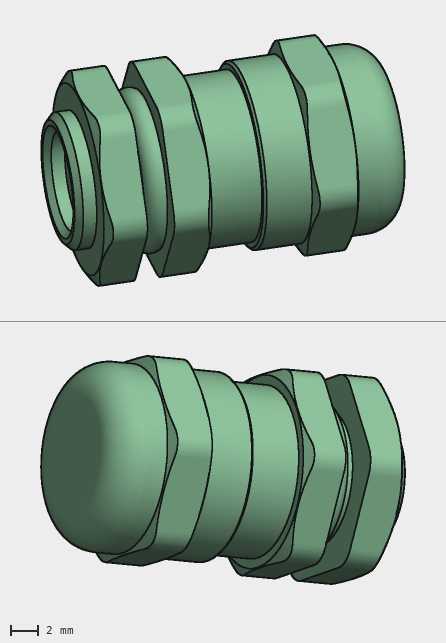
import cadquery as cq
import math


ACROSS_FLATS = 14.0
ACROSS_CORNERS = ACROSS_FLATS / math.cos(math.radians(30))
CORNER_RADIUS = 2.0

FACE_DIAMETER = 13.9
BEVEL_ANGLE = 30.0
CAP_BEVEL_ANGLE = 20.0

THREAD_DIAMETER = 10.0
THREAD_CHAMFER = 0.5
BORE_DIAMETER = 7.2
BORE_DEPTH = 1.5
BORE_CHAMFER = 0.5

NUT_START = 1.5
NUT_THICKNESS = 3.0
FLANGE_START = 6.5
FLANGE_THICKNESS = 3.0
FLANGE_END = FLANGE_START + FLANGE_THICKNESS
CAP_START = 13.4
CAP_HEX_START = 16.95
CAP_HEX_THICKNESS = 3.45
TOTAL_LENGTH = 24.41

RING_DIAMETER = 12.0
RING_SECTION_RADIUS = 1.0
RING_EXPOSED_LENGTH = 1.5
BODY_DIAMETER = 12.5
CAP_DIAMETER = 13.7
CAP_CHAMFER = 0.2
DOME_RADIUS = 2.5


def revolve_about_y(profile):
    """Turn a closed XY profile about the Y axis."""
    return profile.close().revolve(360, (0, 0, 0), (0, 1, 0))


def cylinder(diameter, start, end):
    """Solid cylinder on the Y axis between two stations."""
    return revolve_about_y(
        cq.Workplane("XY")
        .moveTo(0, start)
        .lineTo(diameter / 2, start)
        .lineTo(diameter / 2, end)
        .lineTo(0, end)
    )


def bevel_cone(face_y, inward, face_diameter, angle):
    """Solid cone frustum that widens from one hexagon end face; inward is +1 or -1 along Y."""
    slope = math.tan(math.radians(angle))
    wide_radius = ACROSS_CORNERS
    wide_y = face_y + inward * (wide_radius - face_diameter / 2) * slope
    far_y = face_y + inward * TOTAL_LENGTH
    return revolve_about_y(
        cq.Workplane("XY")
        .moveTo(0, face_y)
        .lineTo(face_diameter / 2, face_y)
        .lineTo(wide_radius, wide_y)
        .lineTo(wide_radius, far_y)
        .lineTo(0, far_y)
    )


def hexagon(start, thickness):
    """Hexagonal prism with rounded corners, two of them on the X axis."""
    return (
        cq.Workplane("XZ", origin=(0, start, 0))
        .polygon(6, ACROSS_CORNERS)
        .extrude(-thickness)
        .edges("|Y")
        .fillet(CORNER_RADIUS)
    )


def thread_stub():
    """Plain thread cylinder with a chamfered tip, reaching into the flange."""
    stub = cylinder(THREAD_DIAMETER, 0, FLANGE_END)
    return stub.faces("<Y").edges().chamfer(THREAD_CHAMFER)


def sealing_ring():
    """Exposed part of the O-ring squeezed between the thread and the flange."""
    centre_radius = RING_DIAMETER / 2 - RING_SECTION_RADIUS
    start = FLANGE_START - RING_EXPOSED_LENGTH
    centre_y = start + RING_SECTION_RADIUS
    flange_offset = FLANGE_START - centre_y
    flange_radius = centre_radius + math.sqrt(RING_SECTION_RADIUS**2 - flange_offset**2)
    return revolve_about_y(
        cq.Workplane("XY")
        .moveTo(0, start)
        .lineTo(centre_radius, start)
        .threePointArc((RING_DIAMETER / 2, centre_y), (flange_radius, FLANGE_START))
        .lineTo(0, FLANGE_START)
    )


def cap():
    """Domed clamping cap with a hexagon around it."""
    barrel = cylinder(CAP_DIAMETER, CAP_START, TOTAL_LENGTH)
    barrel = barrel.faces("<Y").edges().chamfer(CAP_CHAMFER)
    barrel = barrel.faces(">Y").edges().fillet(DOME_RADIUS)
    hex_end = CAP_HEX_START + CAP_HEX_THICKNESS
    grip = hexagon(CAP_HEX_START, CAP_HEX_THICKNESS)
    grip = grip.intersect(bevel_cone(CAP_HEX_START, 1, CAP_DIAMETER, CAP_BEVEL_ANGLE))
    grip = grip.intersect(bevel_cone(hex_end, -1, CAP_DIAMETER, CAP_BEVEL_ANGLE))
    return barrel.union(grip)


def bore():
    """Blind bore in the tip of the thread stub, chamfered at its mouth."""
    bore_radius = BORE_DIAMETER / 2
    return revolve_about_y(
        cq.Workplane("XY")
        .lineTo(bore_radius + BORE_CHAMFER, 0)
        .lineTo(bore_radius, BORE_CHAMFER)
        .lineTo(bore_radius, BORE_DEPTH)
        .lineTo(0, BORE_DEPTH)
    )


def lock_nut():
    """Hexagon nut, bevelled on the side facing the thread tip."""
    cone = bevel_cone(NUT_START, 1, FACE_DIAMETER, BEVEL_ANGLE)
    return hexagon(NUT_START, NUT_THICKNESS).intersect(cone)


def flange():
    """Hexagon flange of the body, bevelled on the side facing the cap."""
    cone = bevel_cone(FLANGE_END, -1, FACE_DIAMETER, BEVEL_ANGLE)
    return hexagon(FLANGE_START, FLANGE_THICKNESS).intersect(cone)


body = cylinder(BODY_DIAMETER, FLANGE_END, CAP_START)

result = (
    thread_stub()
    .union(lock_nut())
    .union(sealing_ring())
    .union(flange())
    .union(body)
    .union(cap())
    .cut(bore())
)